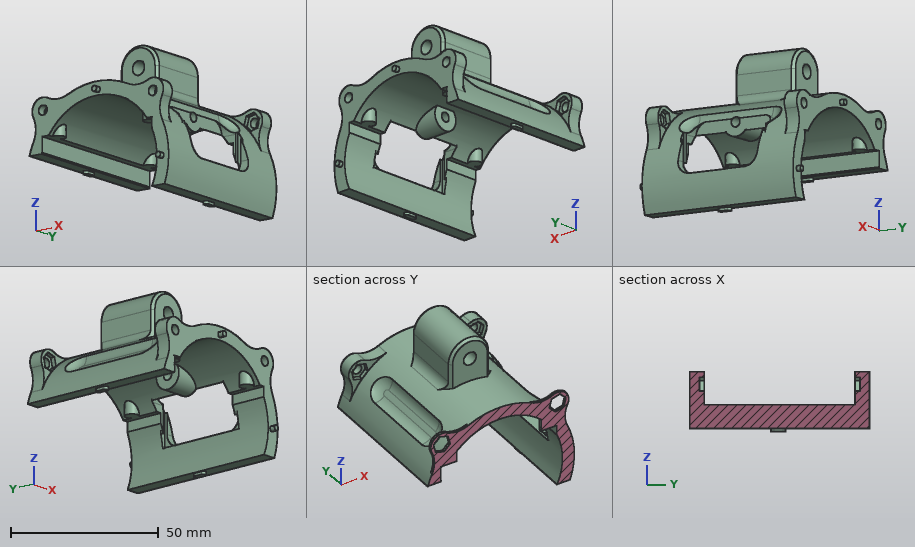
import cadquery as cq
import math

OUTER_R = 30.0
BORE_R = 25.0
MID_WALL_R = 26.95
FRONT_Y = -30.0
BACK_Y = 30.95
LEFT_BOTTOM_Z = 8.0
RIGHT_BOTTOM_Z = -10.05

BOARD_Z = 14.05
BOARD_MID_X = -0.4
BOARD_HALF_WIDTH = 23.15

EAR_POS = 23.2
EAR_R = 4.5
EAR_THICKNESS = 5.0
EAR_HOLLOW_R = 10.0
EAR_HOLE_D = 3.5
NUT_FLATS = 5.8
NUT_DEPTH = 1.7
NUT_TURN = 15

LUG_HALF_WIDTH = 8.0
LUG_AXIS_Z = 39.0
LUG_BASE_Z = 26.45
LUG_LENGTH = 24.0
LUG_MID_Y = 5.0
LUG_HOLE_D = 5.0
LUG_CHAMFER = 1.0
LUG_FLARE_R = 4.0

PIN_D = 2.0
FRONT_PIN_LENGTH = 2.0
BACK_PIN_LENGTH = 1.55
KEY_LENGTH = 5.0
KEY_HEIGHT = 1.0
LEFT_KEY_X = -26.25
RIGHT_KEY_X = 24.5

SLOT_ANGLE = 45
SLOT_FLOOR_R = 27.9
SLOT_HALF_SPAN = 14.8
SLOT_FLOOR_HALF_WIDTH = 1.2
SLOT_BLEND_R = 5.15

WINDOW_X = 18.0
WINDOW_BOTTOM_Z = 2.25
WINDOW_HEIGHT = 19.75
WINDOW_HALF_LENGTH = 16.0
WINDOW_CORNER_R = 5.0
GROOVE_X = 24.0
GROOVE_WIDTH = 2.0
GROOVE_HALF_LENGTH = 17.0

BOARD_BOSS_D = 5.0
BOARD_BOSS_SPAN_X = 38.7
BOARD_BOSS_Y = 25.6
SIDE_BOSS_X = 7.75
SIDE_BOSS_Z = 20.65
SIDE_BOSS_R = 5.0
SIDE_HOLE_D = 3.5


def box(x0, x1, y0, y1, z0, z1):
    """Box given by its two limits along each axis."""
    return cq.Workplane("XY").box(x1 - x0, y1 - y0, z1 - z0, centered=False).translate((x0, y0, z0))


def along_y(y0):
    """Sketch plane at y0 with local axes X and Z; a negative extrusion goes towards +Y."""
    return cq.Workplane(cq.Plane(origin=(0, y0, 0), xDir=(1, 0, 0), normal=(0, -1, 0)))


def rod_y(x, z, radius, y0, y1):
    """Round bar parallel to Y between y0 and y1."""
    return along_y(y0).center(x, z).circle(radius).extrude(y0 - y1)


def ear(y0, y1):
    """Right-hand ear: round lobe plus the web between its two hollows."""
    reach = OUTER_R + EAR_HOLLOW_R
    ear_distance = math.hypot(EAR_POS, EAR_POS)
    lobe_reach = EAR_R + EAR_HOLLOW_R
    cosine = (reach**2 + ear_distance**2 - lobe_reach**2) / (2 * reach * ear_distance)
    angle = math.radians(45) + math.acos(cosine)
    hollow_x = reach * math.cos(angle)
    hollow_z = reach * math.sin(angle)
    web_points = [(0, 0), (hollow_z, hollow_x), (EAR_POS, EAR_POS), (hollow_x, hollow_z)]
    web = along_y(y0).polyline(web_points).close().extrude(y0 - y1)
    for x, z in [(hollow_x, hollow_z), (hollow_z, hollow_x)]:
        web = web.cut(rod_y(x, z, EAR_HOLLOW_R, y0, y1))
    return web.union(rod_y(EAR_POS, EAR_POS, EAR_R, y0, y1))


def ears():
    """Ears on both sides at both ends."""
    spans = [(FRONT_Y, FRONT_Y + EAR_THICKNESS), (BACK_Y - EAR_THICKNESS, BACK_Y)]
    right = ear(*spans[0]).union(ear(*spans[1]))
    return right.union(right.mirror("YZ"))


def trim_bore(body):
    """Open the bore and cut the legs to length."""
    body = body.cut(rod_y(0, 0, BORE_R, FRONT_Y, BACK_Y))
    body = body.cut(box(-OUTER_R, 0, FRONT_Y, BACK_Y, -OUTER_R, LEFT_BOTTOM_Z))
    body = body.cut(box(0, OUTER_R, FRONT_Y, BACK_Y, -OUTER_R, RIGHT_BOTTOM_Z))
    relief_left = BOARD_MID_X - BOARD_HALF_WIDTH
    relief_right = BOARD_MID_X + BOARD_HALF_WIDTH
    return body.cut(box(relief_left, relief_right, FRONT_Y, BACK_Y, RIGHT_BOTTOM_Z, BOARD_Z))


def lug():
    """Round-topped lug with chamfered ends and flared sides that meet the shell tangentially."""
    y0 = LUG_MID_Y - LUG_LENGTH / 2
    y1 = LUG_MID_Y + LUG_LENGTH / 2
    profile = (
        along_y(y0)
        .moveTo(-LUG_HALF_WIDTH, LUG_BASE_Z)
        .lineTo(-LUG_HALF_WIDTH, LUG_AXIS_Z)
        .threePointArc((0, LUG_AXIS_Z + LUG_HALF_WIDTH), (LUG_HALF_WIDTH, LUG_AXIS_Z))
        .lineTo(LUG_HALF_WIDTH, LUG_BASE_Z)
        .close()
    )
    lug_body = profile.extrude(-LUG_LENGTH).faces("<Y or >Y").chamfer(LUG_CHAMFER)

    flare_x = LUG_HALF_WIDTH + LUG_FLARE_R
    flare_z = math.sqrt((OUTER_R + LUG_FLARE_R) ** 2 - flare_x**2)
    flare = box(-flare_x, flare_x, y0, y1, LUG_BASE_Z, flare_z)
    for side in (-1, 1):
        flare = flare.cut(rod_y(side * flare_x, flare_z, LUG_FLARE_R, y0, y1))
    tangent_x = flare_x * OUTER_R / (OUTER_R + LUG_FLARE_R)
    flare = flare.intersect(box(-tangent_x, tangent_x, y0, y1, LUG_BASE_Z, flare_z))
    foot_chamfer = tangent_x - LUG_HALF_WIDTH + LUG_CHAMFER
    foot = box(-tangent_x, tangent_x, y0, y1, LUG_BASE_Z, flare_z).edges("|Z").chamfer(foot_chamfer)
    return lug_body.union(flare.intersect(foot))


def slot_profile():
    """Half cross-section of a slot: flat floor, then a side curving up from it."""
    rim = SLOT_FLOOR_HALF_WIDTH + SLOT_BLEND_R
    mid = SLOT_BLEND_R * math.sin(math.radians(45))
    return (
        along_y(SLOT_HALF_SPAN)
        .moveTo(0, 0)
        .lineTo(SLOT_FLOOR_HALF_WIDTH, 0)
        .threePointArc((SLOT_FLOOR_HALF_WIDTH + mid, SLOT_BLEND_R - mid), (rim, SLOT_BLEND_R))
        .lineTo(0, SLOT_BLEND_R)
        .close()
    )


def slot(side):
    """Cutter for one dished slot: straight middle with a round nose at each end."""
    half_span = slot_profile().extrude(2 * SLOT_HALF_SPAN, combine=False)
    end = slot_profile().revolve(360, (0, 0), (0, 1), combine=False)
    cutter = half_span.union(half_span.mirror("YZ")).union(end).union(end.mirror("XZ"))
    return cutter.translate((0, 0, SLOT_FLOOR_R)).rotate((0, 0, 0), (0, 1, 0), side * SLOT_ANGLE)


def window():
    """Cutter for the round-cornered window and the plate groove."""
    top = WINDOW_BOTTOM_Z + WINDOW_HEIGHT
    opening = box(WINDOW_X, OUTER_R, -WINDOW_HALF_LENGTH, WINDOW_HALF_LENGTH, WINDOW_BOTTOM_Z, top)
    opening = opening.edges("|X").fillet(WINDOW_CORNER_R)
    groove_end_x = GROOVE_X + GROOVE_WIDTH
    groove = box(GROOVE_X, groove_end_x, -GROOVE_HALF_LENGTH, GROOVE_HALF_LENGTH, WINDOW_BOTTOM_Z, top)
    return opening.union(groove)


def side_boss_rod(radius):
    """Round bar on the side boss axis, reaching from the boss end to the window."""
    end_plane = cq.Workplane("YZ", origin=(SIDE_BOSS_X, 0, SIDE_BOSS_Z))
    return end_plane.circle(radius).extrude(WINDOW_X - SIDE_BOSS_X)


def inner_bosses():
    """Four board bosses and the side boss, kept inside the middle of the wall."""
    half_span = BOARD_BOSS_SPAN_X / 2
    board_xs = (BOARD_MID_X - half_span, BOARD_MID_X + half_span)
    centres = [(x, y) for x in board_xs for y in (-BOARD_BOSS_Y, BOARD_BOSS_Y)]
    bosses = (
        cq.Workplane("XY", origin=(0, 0, BOARD_Z))
        .pushPoints(centres)
        .circle(BOARD_BOSS_D / 2)
        .extrude(MID_WALL_R - BOARD_Z)
    )
    side_boss = side_boss_rod(SIDE_BOSS_R)
    return bosses.union(side_boss).intersect(rod_y(0, 0, MID_WALL_R, FRONT_Y, BACK_Y))


def ear_holes():
    """Cutters for the ear screw holes, with a hexagonal nut seat on the inward face of each ear."""
    nut_corner_d = NUT_FLATS / math.cos(math.radians(30))
    right = rod_y(EAR_POS, EAR_POS, EAR_HOLE_D / 2, FRONT_Y, FRONT_Y + EAR_THICKNESS)
    right = right.union(rod_y(EAR_POS, EAR_POS, EAR_HOLE_D / 2, BACK_Y - EAR_THICKNESS, BACK_Y))
    for y in (FRONT_Y + EAR_THICKNESS - NUT_DEPTH, BACK_Y - EAR_THICKNESS):
        seat_plane = along_y(y).center(EAR_POS, EAR_POS).transformed(rotate=(0, 0, NUT_TURN))
        right = right.union(seat_plane.polygon(6, nut_corner_d).extrude(-NUT_DEPTH))
    return right.union(right.mirror("YZ"))


def pins():
    """Round locating pins on both end faces and the keys under the legs."""
    locators = None
    for x, z in [(0, MID_WALL_R), (MID_WALL_R, 0)]:
        for y0, y1 in [(FRONT_Y - FRONT_PIN_LENGTH, FRONT_Y), (BACK_Y, BACK_Y + BACK_PIN_LENGTH)]:
            pin = rod_y(x, z, PIN_D / 2, y0, y1)
            locators = pin if locators is None else locators.union(pin)
    for x, z in [(LEFT_KEY_X, LEFT_BOTTOM_Z), (RIGHT_KEY_X, RIGHT_BOTTOM_Z)]:
        key = cq.Workplane("XY", origin=(x, 0, z)).slot2D(KEY_LENGTH, PIN_D, 90).extrude(-KEY_HEIGHT)
        locators = locators.union(key)
    return locators


body = rod_y(0, 0, OUTER_R, FRONT_Y, BACK_Y).union(ears())
body = trim_bore(body)
body = body.union(lug()).union(inner_bosses())
body = body.cut(slot(-1)).cut(slot(1)).cut(window()).cut(ear_holes())
body = body.cut(side_boss_rod(SIDE_HOLE_D / 2))
body = body.cut(rod_y(0, LUG_AXIS_Z, LUG_HOLE_D / 2, FRONT_Y, BACK_Y))
result = body.union(pins())